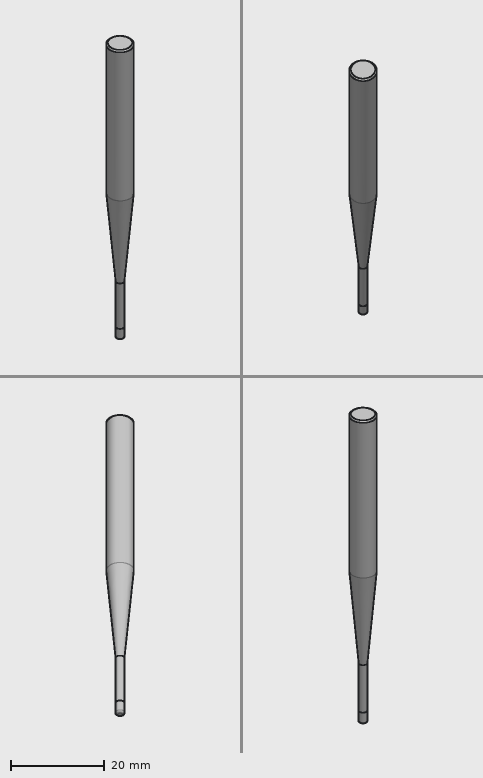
import cadquery as cq

total_length = 78.0
tip_length = 3.0
neck_top = 15.0
taper_top = 38.4

shank_diameter = 6.0
cutter_diameter = 2.0
neck_diameter = 1.95
tip_corner_radius = 0.5
shank_chamfer = 0.4

shank_radius = shank_diameter / 2
cutter_radius = cutter_diameter / 2
neck_radius = neck_diameter / 2


def make_tip():
    """Short cutting head with a rounded lower corner."""
    tip = cq.Workplane("XY").circle(cutter_radius).extrude(tip_length)
    return tip.faces("<Z").edges().fillet(tip_corner_radius)


def make_neck():
    """Slender cylinder between the cutting head and the taper."""
    return cq.Workplane("XY", origin=(0, 0, tip_length)).circle(neck_radius).extrude(neck_top - tip_length)


def make_shank():
    """Tapered lower part and cylindrical clamping part, turned as one piece."""
    half_profile = (
        cq.Workplane("XZ")
        .moveTo(0, neck_top)
        .lineTo(neck_radius, neck_top)
        .lineTo(shank_radius, taper_top)
        .lineTo(shank_radius, total_length)
        .lineTo(0, total_length)
        .close()
    )
    shank = half_profile.revolve(360, (0, 0, 0), (0, 1, 0))
    return shank.faces(">Z").edges().chamfer(shank_chamfer)


tip = make_tip()
neck = make_neck()
shank = make_shank()

result = cq.Compound.makeCompound([tip.val(), neck.val(), shank.val()])